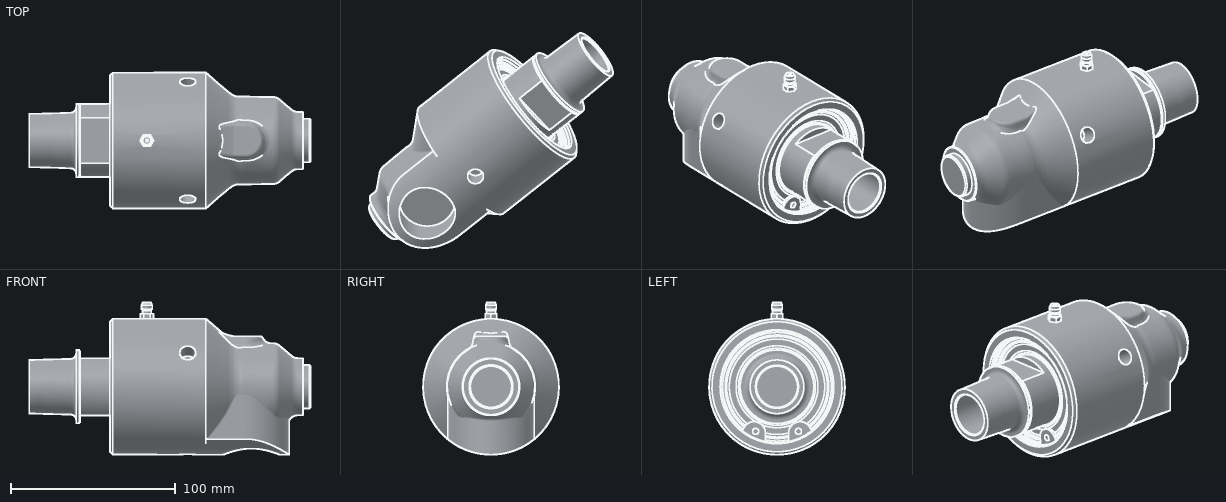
import cadquery as cq
import math


tolerance = 0.1

tip_radius = 16.3
nose_end_x = 25.3
nose_end_radius = 17.0
flange_x = 28.4
flange_root_radius = 20.0
flange_end_x = 30.3
rotor_radius = 44.65 / 2
groove_radius = 21.6
groove_end_x = 31.1
flat_end_x = 50.1
across_flats = 34.9
bore_radius = 25.0 / 2
bore_depth = 85.0
bore_chamfer = 0.6

body_x = 49.0
body_radius = 82.6 / 2
body_chamfer = 1.8
body_end_x = 107.3
neck_arc_start_x = 121.7
neck_arc_start_radius = 28.9
neck_x = 129.5
neck_radius = 26.9
shoulder_x = 148.0
shoulder_radius = 26.5
shoulder_arc_end_x = 151.7
shoulder_arc_end_radius = 25.2
cone_end_x = 159.4
cone_end_radius = 18.7
collar_x = 162.8
collar_radius = 34.9 / 2
collar_end_x = 166.4
collar_chamfer = 0.5
end_x = 170.9
end_radius = 13.3
end_chamfer = 0.8

recess_mouth_radius = 34.6
recess_wall_radius = 68.1 / 2
retainer_radius = 66.0 / 2
retainer_step_radius = 63.0 / 2
retainer_inner_radius = 61.1 / 2
cover_radius = 57.91 / 2
seal_radius = 49.77 / 2
seal_inner_radius = 46.8 / 2
mouth_depth = 1.8
wall_depth = 3.4
retainer_depth = 4.0
retainer_step_depth = 4.5
cover_groove_depth = 5.2
cover_depth = 5.0
seal_groove_depth = 5.2
shaft_gap_depth = 5.4

lug_radius = 7.0
lug_y = 14.0
lug_z = -28.2
lug_face_depth = 3.4
lug_height = 4.0
pin_hole_diameter = 3.72
pin_hole_y = 13.0
pin_hole_z = -27.1

radial_hole_x = 96.2
radial_hole_diameter = 9.6
radial_hole_floor_radius = 28.9
radial_hole_angles = (30, 150, 270)

outlet_x = 131.5
outlet_radius = 26.4
outlet_bottom_z = -48.0
outlet_fillet = 1.2
flare_length = 24.0
outlet_overrun = 23.0
port_x = 134.9
port_diameter = 34.0
port_top_z = -20.0

pad_radius = 9.4
pad_plan_start_x = 107.5
pad_draft = 12.0
pad_depth = 20.0
pad_foot_min_z = 20.0
pad_top_z = 30.7
pad_ramp_x = 123.9
pad_ramp_start_x = 112.5
pad_ramp_start_z = 34.9
pad_ramp_sag = 0.5
pad_top_fillet = 2.3
pad_base_fillet = 5.0

nipple_x = 71.4
nipple_top_z = 51.29
hex_across_flats = 7.0
hex_base_z = 40.0
hex_top_z = 44.4
hex_chamfer = 0.4
nipple_neck_radius = 2.75
nipple_groove_z = 46.0
nipple_groove_radius = 2.4
head_z = 47.1
head_radius = 3.3
head_taper_z = 49.4
nipple_top_radius = 2.5
nipple_hole_diameter = 1.5
nipple_hole_depth = 1.0


def revolve_about_x(profile):
    return profile.close().revolve(360, (0, 0, 0), (1, 0, 0))


def disc(x, radius, length):
    """Cylinder along X that starts at x."""
    return cq.Workplane("YZ", origin=(x, 0, 0)).circle(radius).extrude(length)


def make_rotor():
    """Solid rotor that runs into the housing, with a flat above and a flat below the axis."""
    rotor = revolve_about_x(
        cq.Workplane("XZ")
        .moveTo(0, 0)
        .lineTo(0, tip_radius)
        .lineTo(nose_end_x, nose_end_radius)
        .tangentArcPoint((flange_x, flange_root_radius), relative=False)
        .lineTo(flange_x, rotor_radius)
        .lineTo(flange_end_x, rotor_radius)
        .lineTo(flange_end_x, groove_radius)
        .lineTo(groove_end_x, groove_radius)
        .lineTo(groove_end_x, rotor_radius)
        .lineTo(body_end_x, rotor_radius)
        .lineTo(body_end_x, 0)
    )
    flat_length = flat_end_x - groove_end_x
    flat_centre_x = (flat_end_x + groove_end_x) / 2
    sleeve = cq.Workplane("XY").box(flat_length, 2 * rotor_radius, 2 * rotor_radius)
    between_flats = cq.Workplane("XY").box(flat_length, 2 * rotor_radius, across_flats)
    return rotor.cut(sleeve.cut(between_flats).translate((flat_centre_x, 0, 0)))


def make_housing():
    """Plain cylinder with a chamfered open face."""
    return revolve_about_x(
        cq.Workplane("XZ")
        .moveTo(body_x, 0)
        .lineTo(body_x, body_radius - body_chamfer)
        .lineTo(body_x + body_chamfer, body_radius)
        .lineTo(body_end_x, body_radius)
        .lineTo(body_end_x, 0)
    )


def make_neck():
    """Neck and collar; the cone runs on past the housing and is trimmed later."""
    cone_slope = (neck_arc_start_radius - body_radius) / (neck_arc_start_x - body_end_x)
    flare_x = body_end_x - flare_length
    return revolve_about_x(
        cq.Workplane("XZ")
        .moveTo(flare_x, 0)
        .lineTo(flare_x, body_radius - cone_slope * flare_length)
        .lineTo(neck_arc_start_x, neck_arc_start_radius)
        .tangentArcPoint((neck_x, neck_radius), relative=False)
        .lineTo(shoulder_x, shoulder_radius)
        .tangentArcPoint((shoulder_arc_end_x, shoulder_arc_end_radius), relative=False)
        .lineTo(cone_end_x, cone_end_radius)
        .tangentArcPoint((collar_x, collar_radius), relative=False)
        .lineTo(collar_end_x - collar_chamfer, collar_radius)
        .lineTo(collar_end_x, collar_radius - collar_chamfer)
        .lineTo(collar_end_x, end_radius)
        .lineTo(end_x - end_chamfer, end_radius)
        .lineTo(end_x, end_radius - end_chamfer)
        .lineTo(end_x, 0)
    )


def is_outlet_seam(edge):
    """True for the edges where the sides of the outlet meet the neck."""
    box = edge.BoundingBox()
    below_axis = box.zmax < 0 and box.zmin > outlet_bottom_z + tolerance
    is_upright = abs(box.xmax - box.xmin) < tolerance
    return below_axis and not is_upright and box.xmax < outlet_x + outlet_radius + tolerance


def make_neck_with_outlet():
    """Neck blended into a straight-sided, round-ended outlet, trimmed to the housing diameter."""
    block_start_x = body_end_x - outlet_overrun
    block = (
        cq.Workplane("XY", origin=(0, 0, outlet_bottom_z))
        .moveTo(block_start_x, -outlet_radius)
        .lineTo(outlet_x, -outlet_radius)
        .threePointArc((outlet_x + outlet_radius, 0), (outlet_x, outlet_radius))
        .lineTo(block_start_x, outlet_radius)
        .close()
        .extrude(-outlet_bottom_z)
    )
    neck = make_neck().union(block).edges().filter(is_outlet_seam).fillet(outlet_fillet)
    return neck.intersect(disc(body_end_x, body_radius, end_x - body_end_x))


def is_pad_rim(edge):
    """True for the upper edges along the sides and round end of the pad."""
    centre = edge.Center()
    crosses_pad = abs(centre.y) < tolerance and centre.x < outlet_x
    return centre.z > pad_top_z - tolerance and not crosses_pad


def is_pad_foot(edge):
    """True for the edges where the sides and round end of the pad meet the core."""
    centre = edge.Center()
    along_x = pad_ramp_start_x + tolerance < centre.x < shoulder_x - tolerance
    box = edge.BoundingBox()
    on_core_top = pad_foot_min_z < box.zmin and box.zmax < shoulder_radius + tolerance
    return along_x and on_core_top


def make_pad():
    """U-shaped pad whose flat top curves up into the housing cone."""
    ramp_start = (pad_ramp_start_x, pad_ramp_start_z)
    ramp_end = (pad_ramp_x, pad_top_z)
    ramp_mid = (
        (pad_ramp_start_x + pad_ramp_x) / 2,
        (pad_ramp_start_z + pad_top_z) / 2 - pad_ramp_sag,
    )
    side = (
        cq.Workplane("XZ")
        .moveTo(pad_ramp_start_x, 0)
        .lineTo(*ramp_start)
        .threePointArc(ramp_mid, ramp_end)
        .lineTo(end_x, pad_top_z)
        .lineTo(end_x, 0)
        .close()
        .extrude(body_radius, both=True)
    )
    plan = (
        cq.Workplane("XY", origin=(0, 0, pad_ramp_start_z))
        .moveTo(pad_plan_start_x, -pad_radius)
        .lineTo(outlet_x, -pad_radius)
        .threePointArc((outlet_x + pad_radius, 0), (outlet_x, pad_radius))
        .lineTo(pad_plan_start_x, pad_radius)
        .close()
        .extrude(-pad_depth, taper=-pad_draft)
    )
    pad = side.intersect(plan).edges().filter(is_pad_rim).fillet(pad_top_fillet)
    core = disc(body_end_x, shoulder_radius, shoulder_x - body_end_x)
    return core.union(pad).edges().filter(is_pad_foot).fillet(pad_base_fillet)


def make_nipple():
    """Hexagon with a grooved stem and a grease hole, standing on top of the housing."""
    corner_radius = hex_across_flats / math.sqrt(3)
    hexagon = (
        cq.Workplane("XY", origin=(0, 0, hex_base_z))
        .polygon(6, 2 * corner_radius)
        .extrude(hex_top_z - hex_base_z)
    )
    hex_blank = (
        cq.Workplane("XY", origin=(0, 0, hex_base_z))
        .circle(corner_radius)
        .extrude(hex_top_z - hex_base_z)
        .faces(">Z")
        .chamfer(hex_chamfer)
    )
    stem = (
        cq.Workplane("XZ")
        .moveTo(0, hex_base_z)
        .lineTo(nipple_neck_radius, hex_base_z)
        .lineTo(nipple_neck_radius, nipple_groove_z)
        .lineTo(nipple_groove_radius, nipple_groove_z)
        .lineTo(nipple_groove_radius, head_z)
        .lineTo(head_radius, head_z)
        .lineTo(head_radius, head_taper_z)
        .lineTo(nipple_top_radius, nipple_top_z)
        .lineTo(0, nipple_top_z)
        .close()
        .revolve(360, (0, 0, 0), (0, 1, 0))
    )
    hole = (
        cq.Workplane("XY", origin=(0, 0, nipple_top_z - nipple_hole_depth))
        .circle(nipple_hole_diameter / 2)
        .extrude(nipple_hole_depth)
    )
    nipple = hexagon.intersect(hex_blank).union(stem).cut(hole)
    return nipple.translate((nipple_x, 0, 0))


def make_recess():
    """Ring-shaped cavity around the shaft, stepped in depth."""
    steps = (
        (recess_mouth_radius, mouth_depth),
        (recess_wall_radius, wall_depth),
        (retainer_radius, retainer_depth),
        (retainer_step_radius, retainer_step_depth),
        (retainer_inner_radius, cover_groove_depth),
        (cover_radius, cover_depth),
        (seal_radius, seal_groove_depth),
        (seal_inner_radius, shaft_gap_depth),
    )
    inner_radii = [radius for radius, depth in steps[1:]] + [rotor_radius]
    recess = None
    for (radius, depth), inner_radius in zip(steps, inner_radii):
        ring = disc(body_x, radius, depth).cut(disc(body_x, inner_radius, depth))
        recess = ring if recess is None else recess.union(ring)
    return recess


def make_lug(side):
    """Raised lug, round towards the shaft and reaching the recess wall; side is +1 or -1.

    Returns the lug and its pin hole.
    """
    face = cq.Workplane("YZ", origin=(body_x + lug_face_depth, 0, 0))
    straight_height = retainer_radius + lug_z
    lug = face.center(side * lug_y, lug_z).circle(lug_radius).extrude(lug_height)
    skirt = (
        face.center(side * lug_y, lug_z - straight_height / 2)
        .rect(2 * lug_radius, straight_height)
        .extrude(lug_height)
    )
    trim = disc(body_x, retainer_radius, lug_face_depth + lug_height)
    trim = trim.cut(disc(body_x, seal_inner_radius, lug_face_depth + lug_height))
    pin_hole = (
        face.center(side * pin_hole_y, pin_hole_z)
        .circle(pin_hole_diameter / 2)
        .extrude(lug_height)
    )
    return lug.union(skirt).intersect(trim), pin_hole


def make_radial_hole(angle):
    """Flat-bottomed blind hole drilled towards the axis, at an angle up from +Y."""
    direction = cq.Vector(0, math.cos(math.radians(angle)), math.sin(math.radians(angle)))
    floor_centre = cq.Vector(radial_hole_x, 0, 0) + direction * radial_hole_floor_radius
    length = body_radius - radial_hole_floor_radius
    hole = cq.Solid.makeCylinder(radial_hole_diameter / 2, length, floor_centre, direction)
    return cq.Workplane(obj=hole)


def make_bore():
    """Blind bore from the rotor tip with a chamfered mouth."""
    mouth = cq.Workplane("YZ").circle(bore_radius + bore_chamfer).workplane(offset=bore_chamfer)
    return disc(0, bore_radius, bore_depth).union(mouth.circle(bore_radius).loft())


def make_port():
    """Blind port rising from the underside of the outlet."""
    return (
        cq.Workplane("XY", origin=(port_x, 0, -body_radius))
        .circle(port_diameter / 2)
        .extrude(port_top_z + body_radius)
    )


result = make_housing().union(make_neck_with_outlet()).union(make_pad())
result = result.union(make_rotor()).union(make_nipple())
result = result.cut(make_recess())
for side in (1, -1):
    lug, pin_hole = make_lug(side)
    result = result.union(lug).cut(pin_hole)
for angle in radial_hole_angles:
    result = result.cut(make_radial_hole(angle))
result = result.cut(make_bore()).cut(make_port())